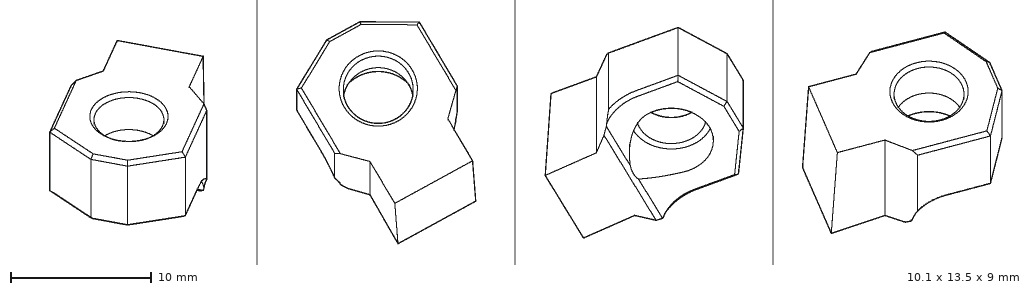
import cadquery as cq
import math


width = 10.08
length = 13.5
half_width = width / 2
front_y = -half_width
back_y = front_y + length
front_flat_half = 1.36
front_bevel_angle = math.radians(30)
bevel_end_y = front_y + (half_width - front_flat_half) * math.tan(front_bevel_angle)
neck_half = 3.2
neck_y = 4.41
shoulder_y = neck_y - (half_width - neck_half)

height = 9.0
plate_thickness = 6.0
back_lean = 0.46
web_radius = 2.5
web_center_y = 0.46
web_center_z = -plate_thickness - web_radius
heel_top_z = -8.03
heel_chamfer_y = 0.35
heel_chamfer_z = 0.42

bore_radius = 2.5
counterbore_radius = 3.0
counterbore_top_z = -3.25
edge_chamfer = 0.3


def web_point(z):
    """Point (y, z) on the concave arc between the plate and the heel."""
    return web_center_y + math.sqrt(web_radius**2 - (z - web_center_z)**2), z


def plan_prism():
    right_side = [
        (front_flat_half, front_y),
        (half_width, bevel_end_y),
        (half_width, shoulder_y),
        (neck_half, neck_y),
        (neck_half, back_y),
    ]
    left_side = [(-x, y) for x, y in reversed(right_side)]
    return cq.Workplane("XY").polyline(right_side + left_side).close().extrude(-height)


def side_prism():
    heel = web_point(heel_top_z)
    arc_middle = web_point(web_center_z + web_radius * math.sin(math.radians(50)))
    return (
        cq.Workplane("YZ")
        .moveTo(front_y, 0)
        .lineTo(front_y, -plate_thickness)
        .lineTo(web_center_y, -plate_thickness)
        .threePointArc(arc_middle, heel)
        .lineTo(heel[0] + heel_chamfer_y, heel_top_z - heel_chamfer_z)
        .lineTo(back_y, -height)
        .lineTo(back_y - back_lean, 0)
        .close()
        .extrude(half_width, both=True)
    )


def edges_in_box(body, low, high):
    return body.edges(cq.selectors.BoxSelector(low, high))


def chamfer_outline(body):
    """Break the plate rim at top and bottom, following the arcs along both sides."""
    margin = 0.14
    outer_x = half_width + margin
    top_rim = edges_in_box(
        body, (-outer_x, front_y - margin, -margin), (outer_x, shoulder_y - margin, margin)
    )
    body = top_rim.chamfer(edge_chamfer)
    plate_bottom = -plate_thickness
    bottom_rim = edges_in_box(
        body,
        (-outer_x, front_y - margin, plate_bottom - margin),
        (outer_x, web_center_y - margin, plate_bottom + margin),
    )
    for side in (-half_width, half_width):
        side_arc = edges_in_box(
            body,
            (side - margin, web_center_y, web_center_z),
            (side + margin, shoulder_y - margin, plate_bottom),
        )
        bottom_rim = bottom_rim.add(side_arc)
    return bottom_rim.chamfer(edge_chamfer)


def bore_cutter():
    """Stepped bore with a conical lead-in at the top."""
    return (
        cq.Workplane("XZ")
        .polyline([
            (0, 0),
            (bore_radius + edge_chamfer, 0),
            (bore_radius, -edge_chamfer),
            (bore_radius, counterbore_top_z),
            (counterbore_radius, counterbore_top_z),
            (counterbore_radius, -height),
            (0, -height),
        ])
        .close()
        .revolve(360, (0, 0, 0), (0, 1, 0))
    )


body = plan_prism().intersect(side_prism())
result = chamfer_outline(body).cut(bore_cutter())